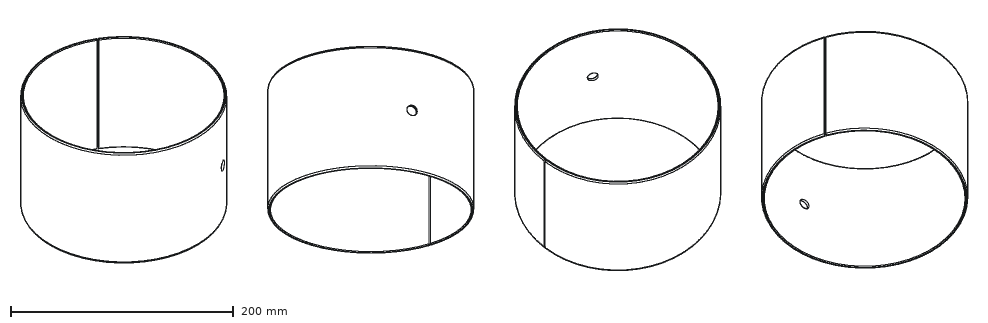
import cadquery as cq

outer_diameter = 185.0
wall_thickness = 2.5
height = 120.0
outer_chamfer_height = 1.8
outer_chamfer_depth = 0.8
inner_chamfer = 0.8
gap_angle = 1.0
gap_start_angle = 179.0
hole_diameter = 10.0
hole_angle = 59.0

outer_radius = outer_diameter / 2
inner_radius = outer_radius - wall_thickness
half_height = height / 2


def make_sleeve():
    """Revolve the wall section, with all four rim edges chamfered, leaving the split open."""
    outer_rim_radius = outer_radius - outer_chamfer_depth
    inner_rim_radius = inner_radius + inner_chamfer
    outer_wall_end = half_height - outer_chamfer_height
    inner_wall_end = half_height - inner_chamfer
    section = (
        cq.Workplane("XZ")
        .moveTo(inner_rim_radius, -half_height)
        .lineTo(outer_rim_radius, -half_height)
        .lineTo(outer_radius, -outer_wall_end)
        .lineTo(outer_radius, outer_wall_end)
        .lineTo(outer_rim_radius, half_height)
        .lineTo(inner_rim_radius, half_height)
        .lineTo(inner_radius, inner_wall_end)
        .lineTo(inner_radius, -inner_wall_end)
        .close()
    )
    wall = section.revolve(360 - gap_angle, (0, 0, 0), (0, 1, 0))
    return wall.rotate((0, 0, 0), (0, 0, 1), gap_start_angle + gap_angle)


def make_hole():
    """Radial cutter through one side of the wall at mid-height."""
    cutter = cq.Workplane("YZ").circle(hole_diameter / 2).extrude(outer_diameter)
    return cutter.rotate((0, 0, 0), (0, 0, 1), hole_angle)


result = make_sleeve().cut(make_hole())